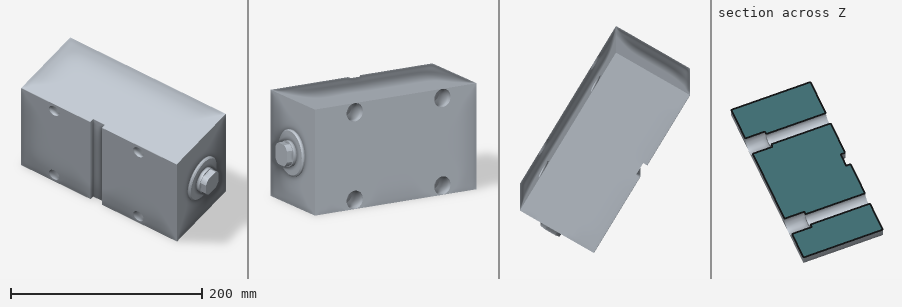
import cadquery as cq
import math

block_length = 197.5
block_depth = 90.0
block_height = 115.0
edge_chamfer = 0.5

slot_start = 88.0
slot_width = 14.5
slot_depth = 5.0

hole_diameter = 13.1
hole_start = 41.9
hole_spacing_x = 107.0
hole_spacing_z = 95.0
counterbore_diameter = 19.9
counterbore_depth = 22.5

overall_length = 211.5
gland_diameter = 50.1
gland_thickness = 3.2
gland_chamfer = 1.3
rod_diameter = 27.7
rod_shoulder = 7.0
tip_across_flats = 23.3
flat_width = 12.0
tip_diameter = math.hypot(tip_across_flats, flat_width)
tip_length = overall_length - block_length - rod_shoulder


def axis_plane(distance):
    """Plane facing +X on the rod axis, at a distance out from the block's +X face."""
    origin = (block_length + distance, block_depth / 2, block_height / 2)
    return cq.Workplane("YZ", origin=origin)


def rear_bores(diameter, depth):
    """Four cylinders at the mounting hole centres, going in from the rear face."""
    rear = cq.Workplane("XZ", origin=(0, block_depth, 0))
    middle = (hole_start + hole_spacing_x / 2, block_height / 2)
    return (
        rear.center(*middle)
        .rarray(hole_spacing_x, hole_spacing_z, 2, 2)
        .circle(diameter / 2)
        .extrude(depth)
    )


def make_block():
    block = cq.Workplane("XY").box(block_length, block_depth, block_height, centered=False)
    block = block.faces("<Y").edges("|X").chamfer(edge_chamfer)
    slot = cq.Workplane("XY").box(slot_width, slot_depth, block_height, centered=False)
    block = block.cut(slot.translate((slot_start, 0, 0)))
    block = block.cut(rear_bores(hole_diameter, block_depth))
    return block.cut(rear_bores(counterbore_diameter, counterbore_depth))


def make_gland():
    gland = axis_plane(0).circle(gland_diameter / 2).extrude(gland_thickness)
    gland = gland.faces(">X").edges().chamfer(gland_chamfer)
    rod_hole = axis_plane(0).circle(rod_diameter / 2).extrude(gland_thickness)
    return gland.cut(rod_hole)


def make_rod():
    shoulder = axis_plane(0).circle(rod_diameter / 2).extrude(rod_shoulder)
    tip = axis_plane(rod_shoulder).circle(tip_diameter / 2).extrude(tip_length)
    square = axis_plane(rod_shoulder).rect(tip_across_flats, tip_across_flats).extrude(tip_length)
    return shoulder.union(tip.intersect(square))


block = make_block()
gland = make_gland()
rod = make_rod()

result = cq.Compound.makeCompound([block.val(), gland.val(), rod.val()])